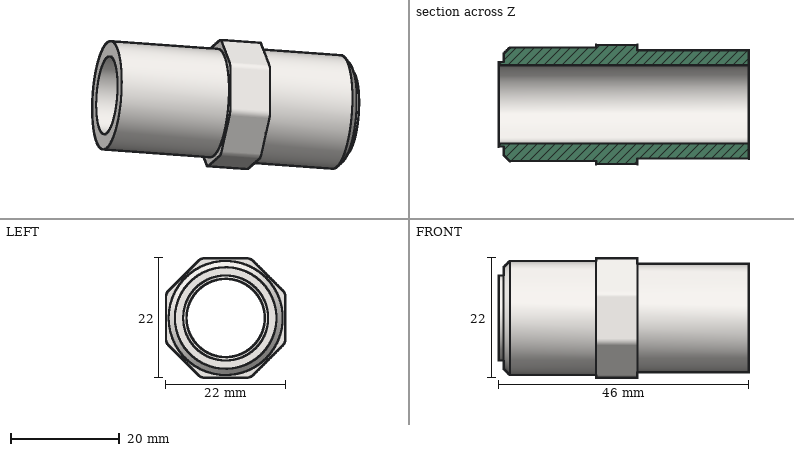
import cadquery as cq
import math

total_length = 46.0
lip_length = 0.9
collar_start = 17.95
collar_width = 7.6
body_chamfer = 1.15

lip_diameter = 15.65
body_diameter = 20.98
collar_across_flats = 22.0
collar_corner_radius = 1.65
tube_diameter = 20.0
bore_diameter = 14.35

collar_end = collar_start + collar_width
left_end = -total_length / 2
collar_sides = 8


def cylinder(diameter, start, end):
    """Cylinder along X, with start and end measured from the left end."""
    plane = cq.Workplane("YZ", origin=(left_end + start, 0, 0))
    return plane.circle(diameter / 2).extrude(end - start)


def octagonal_collar():
    """Wrench collar with flats facing Y and Z and rounded corners."""
    half_side_angle = 180 / collar_sides
    across_corners = collar_across_flats / math.cos(math.radians(half_side_angle))
    return (
        cq.Workplane("YZ", origin=(left_end + collar_start, 0, 0))
        .polygon(collar_sides, across_corners)
        .extrude(collar_width)
        .rotate((0, 0, 0), (1, 0, 0), half_side_angle)
        .edges("|X")
        .fillet(collar_corner_radius)
    )


lip = cylinder(lip_diameter, 0, collar_start)
body = cylinder(body_diameter, lip_length, collar_start).faces("<X").chamfer(body_chamfer)
tube = cylinder(tube_diameter, collar_end, total_length)
bore = cylinder(bore_diameter, 0, total_length)

result = body.union(lip).union(octagonal_collar()).union(tube).cut(bore)